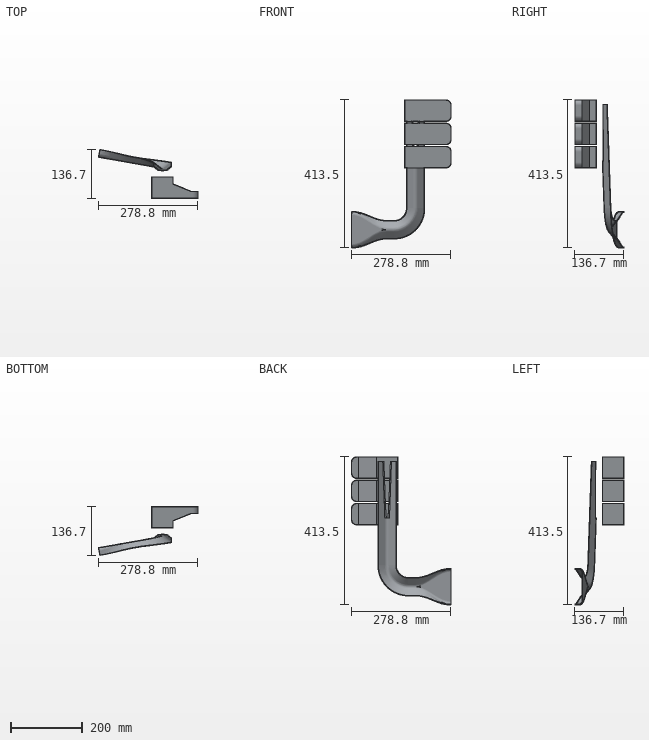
import cadquery as cq
import math

block_length = 130.0
block_size = 60.0
block_pitch = 65.0
block_count = 3
block_right = 278.8
stack_top = 413.5
step_depth = 20.0
tongue_length = 20.0
corner_radius = 15.0

sheet = 2.0
ridge_radius = 10.0
flare_half_width = 51.0
flare_depth = 22.0
arm_half_width = 25.5
arm_depth = 17.0
ridge_half_width = 3.7
flare_length = 99.0
arm_length = 119.5
bend_radius = 59.5
mast_top = 401.5
mast_depth = 17.8
front_start = 115.0
arm_lean = 10.0
mast_lean = 2.0
loft_steps = 8

slot_bottom = 242.8
slot_bottom_y = 79.0
slot_top_y = 78.0
slot_reach = 16.5

arm_slope = math.tan(math.radians(arm_lean))
mast_slope = math.tan(math.radians(mast_lean))
bend_x = arm_length + bend_radius


def make_block(bottom):
    """Stepped and tapered block with rounded corners at its tongue end."""
    left = block_right - block_length
    deep_end = left + block_size
    block = (
        cq.Workplane("XY", origin=(0, 0, bottom))
        .moveTo(left, 0)
        .lineTo(block_right, 0)
        .lineTo(block_right, step_depth)
        .lineTo(block_right - tongue_length, step_depth)
        .lineTo(deep_end, block_size - step_depth)
        .lineTo(deep_end, block_size)
        .lineTo(left, block_size)
        .close()
        .extrude(block_size)
    )
    return block.edges("|Y and >X").fillet(corner_radius)


def channel_section(center, turn, half_width, web_half_width, depth, lean=0.0):
    """Closed channel section; center is mid-web, turn goes from 0 (arm) to 90 (mast)."""
    angle = math.radians(turn)
    across = cq.Vector(-math.sin(angle), 0, math.cos(angle))
    back = cq.Vector(math.sin(math.radians(lean)), math.cos(math.radians(lean)), 0)
    fold = math.atan2(depth, half_width - web_half_width)
    arc_offset = web_half_width - ridge_radius * math.tan(fold / 2)

    def place(offset, setback):
        return cq.Vector(*center) + across * offset + back * setback

    def arc_point(side, radius, share):
        normal = fold * share
        offset = arc_offset + radius * math.sin(normal)
        return place(side * offset, ridge_radius - radius * math.cos(normal))

    def face_edges(inset):
        radius = ridge_radius - inset
        tip_offset = half_width - inset * math.sin(fold)
        tip_setback = depth + inset * math.cos(fold)
        tips = [place(side * tip_offset, tip_setback) for side in (-1, 1)]
        low_arc = [arc_point(-1, radius, share) for share in (1, 0.5, 0)]
        high_arc = [arc_point(1, radius, share) for share in (0, 0.5, 1)]
        edges = [
            cq.Edge.makeLine(tips[0], low_arc[0]),
            cq.Edge.makeThreePointArc(*low_arc),
            cq.Edge.makeLine(low_arc[-1], high_arc[0]),
            cq.Edge.makeThreePointArc(*high_arc),
            cq.Edge.makeLine(high_arc[-1], tips[1]),
        ]
        return edges, tips

    outer, outer_tips = face_edges(0)
    inner, inner_tips = face_edges(sheet)
    ends = [cq.Edge.makeLine(*pair) for pair in zip(outer_tips, inner_tips)]
    return cq.Wire.assembleEdges(outer + [ends[1]] + inner[::-1] + [ends[0]])


def arm_section(x, widening=0.0):
    """Section of the arm; widening 0 is the plain V, 1 the full flare."""
    def blend(plain, flared):
        return plain + (flared - plain) * widening

    return channel_section(
        (x, front_start - x * arm_slope, flare_half_width),
        0,
        blend(arm_half_width, flare_half_width),
        blend(ridge_half_width, flare_half_width),
        blend(arm_depth, flare_depth),
        arm_lean * widening,
    )


def flare_section(share):
    widening = (1 + math.cos(math.pi * share)) / 2
    return arm_section(flare_length * share, widening)


def bend_section(share):
    angle = math.pi / 2 * share
    run = bend_radius * math.sin(angle)
    rise = bend_radius * (1 - math.cos(angle))
    x = arm_length + run
    y = front_start - x * arm_slope - rise * mast_slope
    depth = arm_depth + (mast_depth - arm_depth) * share
    center = (x, y, flare_half_width + rise)
    return channel_section(center, math.degrees(angle), arm_half_width, ridge_half_width, depth)


def mast_top_section():
    y = front_start - bend_x * arm_slope - (mast_top - flare_half_width) * mast_slope
    return channel_section((bend_x, y, mast_top), 90, arm_half_width, ridge_half_width, mast_depth)


def make_slot_cutter():
    front = slot_top_y - slot_reach
    return (
        cq.Workplane("YZ", origin=(bend_x, 0, 0))
        .moveTo(front, slot_bottom)
        .lineTo(slot_bottom_y, slot_bottom)
        .lineTo(slot_top_y, mast_top)
        .lineTo(front, mast_top)
        .close()
        .extrude(arm_half_width, both=True)
    )


def make_channel():
    """Flared arm, quarter bend and slotted mast as one sheet."""
    shares = [step / loft_steps for step in range(loft_steps + 1)]
    flare = cq.Solid.makeLoft([flare_section(share) for share in shares])
    arm = cq.Solid.makeLoft([arm_section(flare_length), arm_section(arm_length)], True)
    bend = cq.Solid.makeLoft([bend_section(share) for share in shares])
    mast = cq.Solid.makeLoft([bend_section(1), mast_top_section()], True)
    channel = cq.Workplane(flare).union(cq.Workplane(arm))
    channel = channel.union(cq.Workplane(bend)).union(cq.Workplane(mast))
    return channel.cut(make_slot_cutter())


blocks = [make_block(stack_top - block_size - index * block_pitch) for index in range(block_count)]
channel = make_channel()

result = cq.Compound.makeCompound([channel.val(), *[block.val() for block in blocks]])